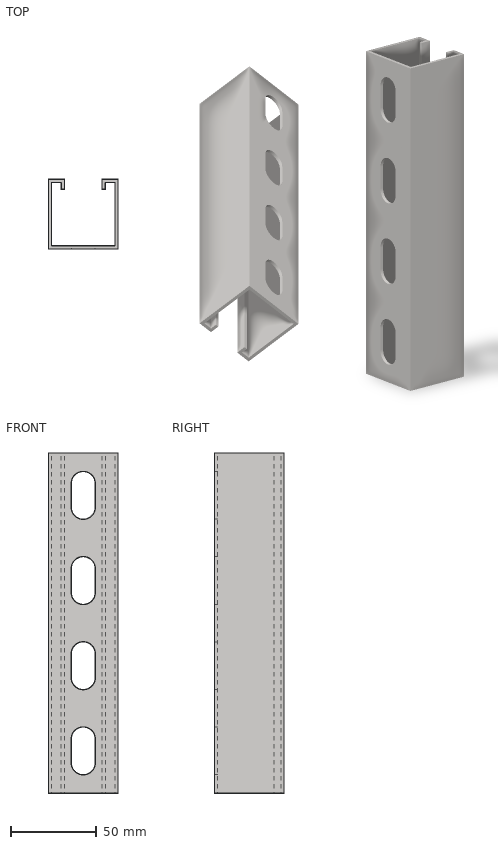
import cadquery as cq

width = 41.0
depth = 41.0
length = 200.0

wall = 2.0
mouth_width = 22.0
lip_depth = 6.0

slot_count = 4
slot_pitch = length / slot_count
slot_width = 14.0
slot_length = 28.0


def channel_body():
    """Lipped C-section, open towards +Y, extruded along Z."""
    outer_x = width / 2
    inner_x = outer_x - wall
    mouth_x = mouth_width / 2
    lip_x = mouth_x + wall
    back_y = -depth / 2
    front_y = depth / 2
    lip_end_y = front_y - lip_depth
    right_half = [
        (outer_x, back_y),
        (outer_x, front_y),
        (mouth_x, front_y),
        (mouth_x, lip_end_y),
        (lip_x, lip_end_y),
        (lip_x, front_y - wall),
        (inner_x, front_y - wall),
        (inner_x, back_y + wall),
    ]
    left_half = [(-x, y) for x, y in reversed(right_half)]
    return cq.Workplane("XY").polyline(right_half + left_half).close().extrude(length)


def slot_cutters():
    """Vertical obround cutters, evenly spaced and centred in each pitch, through the back wall."""
    centres = [(0, (index + 0.5) * slot_pitch) for index in range(slot_count)]
    return (
        cq.Workplane("XZ", origin=(0, -depth / 2 + wall, 0))
        .pushPoints(centres)
        .slot2D(slot_length, slot_width, 90)
        .extrude(wall)
    )


result = channel_body().cut(slot_cutters())